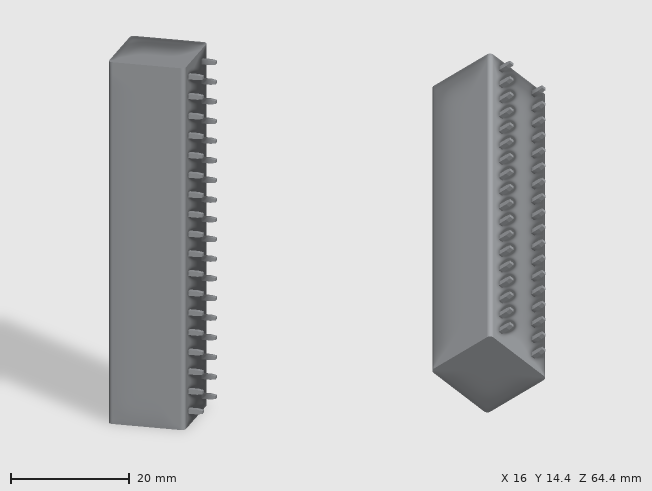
import cadquery as cq

total_depth = 16.0
body_width = 14.4
body_height = 64.4
pin_length = 2.5
body_depth = total_depth - pin_length
corner_radius = 0.8

pin_count = 18
top_pin_margin = 2.2
pin_span = 59.5
pin_pitch = pin_span / (pin_count - 1)
column_spacing = 8.25
column_offset = -0.5
column_centers = (column_offset - column_spacing / 2, column_offset + column_spacing / 2)

pin_size = 0.85
pin_tip_height = 0.5
pin_straight_length = 1.6


def make_body():
    """Block with rounded vertical edges, its base on Z = 0."""
    block = cq.Workplane("XY").box(body_depth, body_width, body_height, centered=(False, True, False))
    return block.edges("|Z").fillet(corner_radius)


def make_pin(y_center, z_center):
    """One pin, extruded across its width from its side profile."""
    root_x = body_depth
    shoulder_x = root_x + pin_straight_length
    half_size = pin_size / 2
    half_tip = pin_tip_height / 2
    profile = [
        (root_x, z_center - half_size),
        (shoulder_x, z_center - half_size),
        (total_depth, z_center - half_tip),
        (total_depth, z_center + half_tip),
        (shoulder_x, z_center + half_size),
        (root_x, z_center + half_size),
    ]
    side_plane = cq.Workplane("XZ", origin=(0, y_center, 0))
    return side_plane.polyline(profile).close().extrude(half_size, both=True)


result = make_body()
for y_center in column_centers:
    for index in range(pin_count):
        z_center = body_height - top_pin_margin - index * pin_pitch
        result = result.union(make_pin(y_center, z_center))